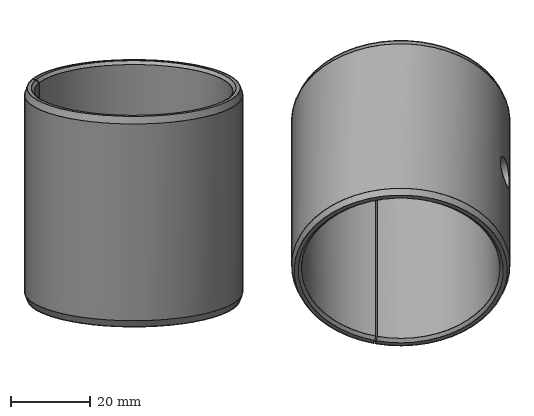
import cadquery as cq
import math

outer_diameter = 55.0
wall = 2.5
length = 55.0

chamfer_angle = 20.0
chamfer_length = 1.8
chamfer_depth = chamfer_length * math.tan(math.radians(chamfer_angle))

inner_chamfer = 0.8

full_turn = 360.0
gap_angle = 1.0
gap_center_angle = 180.0 - gap_angle / 2

hole_diameter = 8.0
hole_angle = gap_center_angle - full_turn / 3

outer_radius = outer_diameter / 2
inner_radius = outer_radius - wall
half_length = length / 2


def make_rolled_wall():
    """Revolve the wall section about Z from the -X side, leaving the butt gap open."""
    outer_shoulder = half_length - chamfer_length
    inner_shoulder = half_length - inner_chamfer
    outer_rim = outer_radius - chamfer_depth
    inner_rim = inner_radius + inner_chamfer
    axis_start = (0, 0, 0)
    axis_end = (0, 1, 0)
    return (
        cq.Workplane("XZ")
        .moveTo(-inner_radius, -inner_shoulder)
        .lineTo(-inner_rim, -half_length)
        .lineTo(-outer_rim, -half_length)
        .lineTo(-outer_radius, -outer_shoulder)
        .lineTo(-outer_radius, outer_shoulder)
        .lineTo(-outer_rim, half_length)
        .lineTo(-inner_rim, half_length)
        .lineTo(-inner_radius, inner_shoulder)
        .close()
        .revolve(full_turn - gap_angle, axis_start, axis_end)
    )


def make_oil_hole():
    """Radial cutter running from the axis out through one side of the wall."""
    return (
        cq.Workplane("YZ")
        .circle(hole_diameter / 2)
        .extrude(outer_diameter)
        .rotate((0, 0, 0), (0, 0, 1), hole_angle)
    )


result = make_rolled_wall().cut(make_oil_hole())